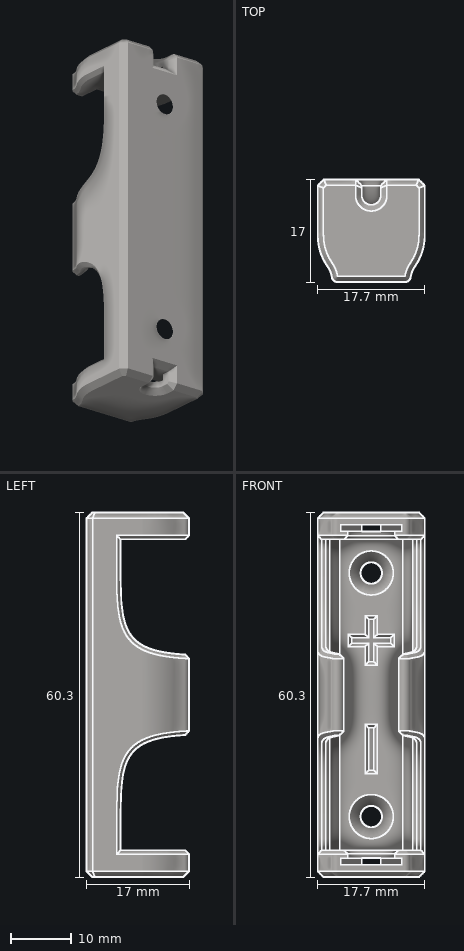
import cadquery as cq
import math

length = 60.3
width = 17.7
depth = 17.0
wall = 2.0
end_thickness = 4.45
end_chamfer = 0.95
back_corner_chamfer = 1.0

margin = 0.05

half_width = width / 2
back_y = depth / 2
front_y = -depth / 2
floor_y = back_y - wall
cavity_half_length = length / 2 - end_thickness

grip_center_height = 9.3
grip_center_y = back_y - grip_center_height
grip_radius = half_width - wall / 2
neck_radius = 5.25
lip_radius = wall / 2
lip_x = 5.55
lip_y = front_y + lip_radius
cavity_corner = 1.6

window_sill_height = 5.65
window_y = back_y - window_sill_height
window_straight_z = 19.6
clip_half_length = 6.65
sill_pull = 9.7
mouth_pull = 10.15
mouth_rise = 0.5
edge_chamfer = 0.65

screw_diameter = 3.5
countersink_diameter = 7.3
screw_z = 20.15

mark_z = 9.0
mark_height = 8.2
mark_width = 7.6
mark_stroke = 2.05
mark_depth = 0.6

pocket_width = 10.15
pocket_thickness = 1.1
pocket_cover = 2.05
pocket_outer_z = length / 2 - pocket_cover
pocket_inner_z = pocket_outer_z - pocket_thickness
pocket_back_wall = 2.55
pocket_back_y = back_y - pocket_back_wall
opening_width = 7.85
opening_back_wall = 5.35
opening_back_y = back_y - opening_back_wall
opening_flare = 0.6

notch_width = 3.15
notch_depth = 4.2
notch_chamfer = 1.0


def polar(center, radius, angle):
    return (center[0] + radius * math.cos(angle), center[1] + radius * math.sin(angle))


def mirror_x(point):
    return (-point[0], point[1])


grip_center = (0, grip_center_y)
lip_center = (lip_x, lip_y)
lip_distance = math.hypot(lip_x, lip_y - grip_center_y)
neck_distance = grip_radius + neck_radius
neck_offset = math.acos(
    (lip_distance**2 + neck_distance**2 - neck_radius**2) / (2 * lip_distance * neck_distance)
)
grip_angle = math.atan2(lip_y - grip_center_y, lip_x) + neck_offset
neck_center = polar(grip_center, neck_distance, grip_angle)
neck_start = grip_angle + math.pi
neck_end = math.atan2(lip_y - neck_center[1], lip_x - neck_center[0]) % (2 * math.pi)
lip_angle = neck_end - math.pi


def wall_arcs(side):
    """Through-point and end-point of the grip and neck arcs; side is +1 outside, -1 inside."""
    grip = grip_radius + side * wall / 2
    neck = neck_radius - side * wall / 2
    return [
        (polar(grip_center, grip, grip_angle / 2), polar(grip_center, grip, grip_angle)),
        (polar(neck_center, neck, (neck_start + neck_end) / 2), polar(neck_center, neck, neck_end)),
    ]


def lip_point(angle):
    return polar(lip_center, lip_radius, angle)


def make_profile(side, back_half_width, back_plane_y, back_chamfer):
    """Closed XY outline, symmetric in X: chamfered back corners, clip arcs and half of each lip.

    With side +1 it follows the outside of the wall, with side -1 the inside.
    """
    lip_start = lip_angle if side > 0 else lip_angle - math.pi
    lip_end = -math.pi / 2
    arcs = wall_arcs(side)
    arcs.append((lip_point((lip_start + lip_end) / 2), lip_point(lip_end)))
    starts = [(back_half_width, grip_center_y)] + [end for _, end in arcs[:-1]]

    outline = (
        cq.Workplane("XY")
        .moveTo(back_half_width - back_chamfer, back_plane_y)
        .lineTo(back_half_width, back_plane_y - back_chamfer)
        .lineTo(*starts[0])
    )
    for middle, end in arcs:
        outline = outline.threePointArc(middle, end)
    outline = outline.lineTo(*mirror_x(lip_point(lip_end)))
    for (middle, _), start in zip(reversed(arcs), reversed(starts)):
        outline = outline.threePointArc(mirror_x(middle), mirror_x(start))
    outline = outline.lineTo(-back_half_width, back_plane_y - back_chamfer)
    return outline.lineTo(-back_half_width + back_chamfer, back_plane_y).close()


def make_block():
    profile = make_profile(1, half_width, back_y, back_corner_chamfer)
    block = profile.extrude(length / 2, both=True)
    return block.faces("|Z").chamfer(end_chamfer)


def make_cavity():
    """Battery space whose mouth runs out along the inner halves of the round lips."""
    profile = make_profile(-1, half_width - wall, floor_y, cavity_corner)
    return profile.extrude(cavity_half_length, both=True)


def make_window():
    """Cutter for the +Z windows in both side walls; the clip edge is one sweeping curve."""
    clear_y = front_y - margin
    return (
        cq.Workplane("YZ")
        .moveTo(window_y, cavity_half_length)
        .lineTo(window_y, window_straight_z)
        .bezier([
            (window_y, window_straight_z),
            (window_y, window_straight_z - sill_pull),
            (front_y + mouth_pull, clip_half_length + mouth_rise),
            (front_y, clip_half_length),
        ])
        .lineTo(clear_y, clip_half_length)
        .lineTo(clear_y, cavity_half_length)
        .close()
        .extrude(width, both=True)
    )


def chamfer_rim(body):
    """Chamfer the loop that runs round each window, over the lips and along the end plates."""
    low_y = window_y - margin
    high_y = window_y + margin
    front_limit = front_y - margin
    near_z = clip_half_length / 2
    far_z = cavity_half_length + margin
    for bottom, top in ((near_z, far_z), (-far_z, -near_z)):
        rim = cq.selectors.BoxSelector((-width, front_limit, bottom), (width, high_y, top))
        window_floor = cq.selectors.BoxSelector((-width, low_y, bottom), (width, high_y, top))
        across_wall = cq.selectors.AndSelector(
            window_floor, cq.selectors.ParallelDirSelector(cq.Vector(1, 0, 0))
        )
        body = body.edges(rim - across_wall).chamfer(edge_chamfer)
    return body


def make_contact_pocket():
    """Contact pocket of the +Z end plate, with its flared opening into the cavity."""
    clear_y = front_y - pocket_thickness
    pocket_length = pocket_back_y - clear_y
    pocket_y = (pocket_back_y + clear_y) / 2
    pocket = (
        cq.Workplane("XY", origin=(0, pocket_y, pocket_inner_z))
        .rect(pocket_width, pocket_length)
        .extrude(pocket_thickness)
    )
    opening_length = opening_back_y - clear_y
    opening_y = (opening_back_y + clear_y) / 2
    opening = (
        cq.Workplane("XY", origin=(0, opening_y, cavity_half_length))
        .rect(opening_width, opening_length)
        .extrude(pocket_inner_z - cavity_half_length)
    )
    flare = (
        cq.Workplane("XY", origin=(0, opening_y, cavity_half_length))
        .rect(opening_width + 2 * opening_flare, opening_length + 2 * opening_flare)
        .extrude(opening_flare, taper=45)
    )
    return pocket.union(opening).union(flare)


def make_notch():
    """Round-ended wire notch of the +Z end plate, open to the end and back faces."""
    half = notch_width / 2
    round_y = back_y - notch_depth + half
    return (
        cq.Workplane("XY", origin=(0, 0, pocket_inner_z))
        .moveTo(-half, back_y)
        .lineTo(-half, round_y)
        .threePointArc((0, round_y - half), (half, round_y))
        .lineTo(half, back_y)
        .close()
        .extrude(length / 2 - pocket_inner_z)
    )


def cut_notches(block):
    """Cut both wire notches and chamfer their edges on the outside of the block."""
    notch = make_notch()
    block = block.cut(notch).cut(notch.mirror("XY"))
    reach_x = notch_width / 2 + margin
    notch_end_y = back_y - notch_depth - margin
    end_z = length / 2 + margin
    inner_z = length / 2 - end_chamfer - margin
    around_notch = cq.selectors.BoxSelector(
        (-reach_x, notch_end_y, -end_z), (reach_x, back_y + margin, end_z)
    )
    inside_notch = cq.selectors.BoxSelector(
        (-reach_x, notch_end_y, -inner_z), (reach_x, back_y - margin, inner_z)
    )
    return block.edges(around_notch - inside_notch).chamfer(notch_chamfer)


def make_screw_hole(z):
    floor_plane = cq.Workplane("XZ", origin=(0, floor_y, z))
    shaft = floor_plane.circle(screw_diameter / 2).extrude(-wall)
    head_depth = (countersink_diameter - screw_diameter) / 2
    head = floor_plane.circle(countersink_diameter / 2).extrude(-head_depth, taper=45)
    return shaft.union(head)


def make_mark_stroke(stroke_width, stroke_height, z):
    """One engraved stroke in the cavity floor, narrowing with depth."""
    return (
        cq.Workplane("XZ", origin=(0, floor_y, z))
        .rect(stroke_width, stroke_height)
        .extrude(-mark_depth, taper=45)
    )


body = cut_notches(make_block()).cut(make_cavity())
window = make_window()
body = chamfer_rim(body.cut(window).cut(window.mirror("XY")))

pocket = make_contact_pocket()
body = body.cut(pocket).cut(pocket.mirror("XY"))

for z in (screw_z, -screw_z):
    body = body.cut(make_screw_hole(z))

body = body.cut(make_mark_stroke(mark_stroke, mark_height, mark_z))
body = body.cut(make_mark_stroke(mark_width, mark_stroke, mark_z))
body = body.cut(make_mark_stroke(mark_stroke, mark_height, -mark_z))

result = body